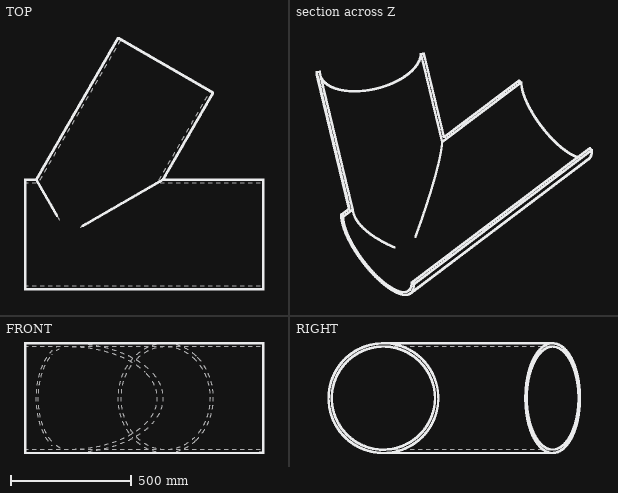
import cadquery as cq
import math

OUTER_DIAMETER = 457.2
INNER_DIAMETER = 428.65
BRANCH_ANGLE = 60.0
SHORT_LEG = 177.8
LONG_LEG = 812.8
BRANCH_LEG = LONG_LEG

BORE_OVERRUN = OUTER_DIAMETER / 2 - SHORT_LEG

run_direction = cq.Vector(1, 0, 0)
crossing = cq.Vector(0, 0, 0)
branch_direction = cq.Vector(
    math.cos(math.radians(BRANCH_ANGLE)),
    math.sin(math.radians(BRANCH_ANGLE)),
    0,
)


def rod(diameter, start, direction, length):
    """Solid cylinder from a start point along a direction."""
    return cq.Workplane(cq.Solid.makeCylinder(diameter / 2, length, start, direction))


def run_rod(diameter, overrun=0.0):
    """Cylinder over the run, lengthened by the overrun at both ends."""
    start = cq.Vector(-SHORT_LEG - overrun, 0, 0)
    length = SHORT_LEG + LONG_LEG + 2 * overrun
    return rod(diameter, start, run_direction, length)


def branch_rod(diameter):
    """Cylinder along the branch, from the axis crossing to its open end."""
    return rod(diameter, crossing, branch_direction, BRANCH_LEG)


body = run_rod(OUTER_DIAMETER).union(branch_rod(OUTER_DIAMETER))
bore = run_rod(INNER_DIAMETER, BORE_OVERRUN).union(branch_rod(INNER_DIAMETER))

result = body.cut(bore)